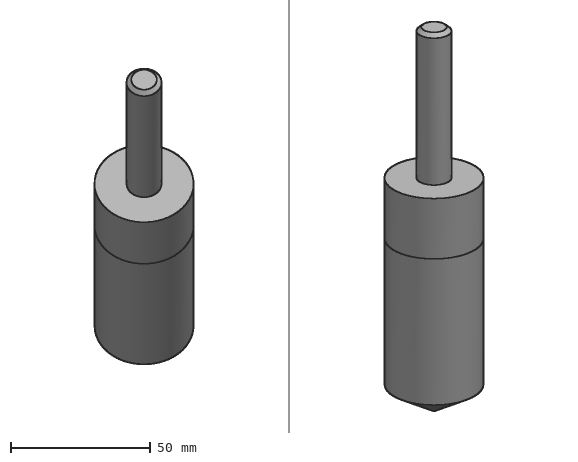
import cadquery as cq

total_height = 152.4
barrel_diameter = 35.7
cone_height = 10.8
joint_height = 68.7
head_top = 92.7
shank_diameter = 12.6
shank_chamfer_height = 1.5
shank_top_diameter = 9.1

barrel_radius = barrel_diameter / 2
shank_radius = shank_diameter / 2
shank_chamfer_width = (shank_diameter - shank_top_diameter) / 2


def make_body():
    """Cylindrical lower body that ends in a conical point."""
    return (
        cq.Workplane("XZ")
        .moveTo(0, 0)
        .lineTo(barrel_radius, cone_height)
        .lineTo(barrel_radius, joint_height)
        .lineTo(0, joint_height)
        .close()
        .revolve(360, (0, 0), (0, 1))
    )


def make_head():
    """Cylindrical head with a slender shank, chamfered at its end."""
    head = (
        cq.Workplane("XY")
        .workplane(offset=joint_height)
        .circle(barrel_radius)
        .extrude(head_top - joint_height)
    )
    shank = (
        cq.Workplane("XY")
        .workplane(offset=head_top)
        .circle(shank_radius)
        .extrude(total_height - head_top)
        .faces(">Z")
        .chamfer(shank_chamfer_height, shank_chamfer_width)
    )
    return head.union(shank)


body = make_body()
head = make_head()

result = cq.Compound.makeCompound([body.val(), head.val()])